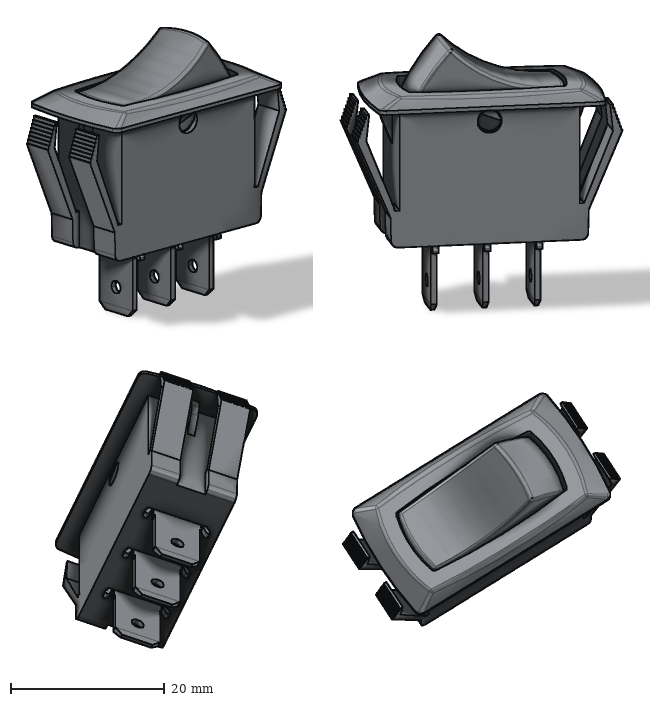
import cadquery as cq
import math


BEZEL_WIDTH = 16.7
BEZEL_LENGTH = 31.15
BEZEL_END_BULGE = 0.68
BEZEL_EDGE_ROUND = 0.93
RIM_HEIGHT = 0.55
BEZEL_HEIGHT = 1.97
CROWN_WIDTH = 14.82
CROWN_LENGTH = 26.5
CROWN_SIDE_BULGE = 0.7
CROWN_END_BULGE = 1.3

WELL_WIDTH = 10.38
WELL_LENGTH = 22.05
WELL_SIDE_BULGE = 0.57
WELL_END_BULGE = 0.7
WELL_CORNER_RADIUS = 0.35
WELL_DEPTH = 7.88

HOUSING_WIDTH = 12.03
HOUSING_LENGTH = 23.85
HOUSING_HEIGHT = 18.45
RIB_WIDTH = 1.0
RIB_DEPTH = 1.55
RIB_STRAIGHT = 2.0
RIB_HEIGHT = 5.75
RIB_BEND_RADIUS = 3.95

ARM_WIDTH = 4.0
ARM_FOOT_Y = 13.03
ARM_FOOT_ROUND = 0.93
ARM_ROOT_Y = 13.15
ARM_ROOT_Z = -14.4
ARM_SPAN = 35.2
ARM_ELBOW_Y = ARM_SPAN / 2
ARM_ELBOW_Z = -3.97
ARM_TIP_THICKNESS = 0.4
ARM_TIP_Z = -0.5
ARM_ELBOW_INNER_Y = 16.32
SLOT_WIDTH = 0.57
SLOT_BOTTOM_Z = -13.5
STEP_COUNT = 7
STEP_DEPTH = 0.18

PIVOT_Z = -1.97
TILT = 21.0
PIN_DIAMETER = 2.95
PIN_HOLE_DIAMETER = 3.2
PIN_RAMP_START = 0.55
ROCKER_WIDTH = 9.8
ROCKER_SIDE_BULGE = 0.45
ROCKER_END_BULGE = 0.7
ROCKER_HEIGHT = 7.5
ROCKER_DIP = 5.48
ROCKER_TIP_REACH = 8.55
ROCKER_MIDDLE_REACH = 9.8
ROCKER_MIDDLE_HEIGHT = 3.95
ROCKER_BASE_REACH = 10.8
ROCKER_EDGE_ROUND = 0.45

TERMINAL_PITCH = 6.87
TERMINAL_THICKNESS = 0.8
TERMINAL_LENGTH = 9.5
BLADE_WIDTH = 6.3
SHOULDER_WIDTH = 6.65
SHOULDER_LENGTH = 1.2
BLADE_HOLE_DIAMETER = 1.7
BLADE_HOLE_DROP = 5.95
BLADE_TIP_CHAMFER = 1.0
BLADE_TIP_THICKNESS = 0.5
PRONG_WIDTH = 0.68
PRONG_TOP_X = 3.83
PRONG_TIP_X = 4.25
PRONG_DROP = 1.07
PRONG_WEB = 0.25


def bowed_rectangle(plane, width, length, side_bulge, end_bulge):
    """Four-sided outline whose overall size is width x length and whose sides bow outwards."""
    half_width = width / 2
    half_length = length / 2
    corner_x = half_width - side_bulge
    corner_y = half_length - end_bulge
    outline = plane.moveTo(-corner_x, -corner_y)
    outline = outline.threePointArc((0, -half_length), (corner_x, -corner_y))
    if side_bulge > 0:
        outline = outline.threePointArc((half_width, 0), (corner_x, corner_y))
    else:
        outline = outline.lineTo(corner_x, corner_y)
    outline = outline.threePointArc((0, half_length), (-corner_x, corner_y))
    if side_bulge > 0:
        outline = outline.threePointArc((-half_width, 0), (-corner_x, -corner_y))
    return outline.close()


def slab_in_x(points, x_start, x_end):
    """Extrude a (Y, Z) outline from x_start to x_end."""
    return cq.Workplane("YZ", origin=(x_start, 0, 0)).polyline(points).close().extrude(x_end - x_start)


def make_bezel():
    """Rim plate under a crown with sloping flanks, rounded at the corners and along the top edge."""
    rim_plane = cq.Workplane("XY")
    foot_plane = cq.Workplane("XY", origin=(0, 0, RIM_HEIGHT))
    crown_plane = cq.Workplane("XY", origin=(0, 0, BEZEL_HEIGHT))
    rim = bowed_rectangle(rim_plane, BEZEL_WIDTH, BEZEL_LENGTH, 0, BEZEL_END_BULGE).extrude(RIM_HEIGHT)
    foot = bowed_rectangle(foot_plane, BEZEL_WIDTH, BEZEL_LENGTH, 0, BEZEL_END_BULGE)
    crown = bowed_rectangle(crown_plane, CROWN_WIDTH, CROWN_LENGTH, CROWN_SIDE_BULGE, CROWN_END_BULGE)
    bezel = rim.union(cq.Workplane(cq.Solid.makeLoft([foot.val(), crown.val()], True)))

    above_rim = cq.selectors.BoxSelector(
        (-BEZEL_WIDTH, -BEZEL_LENGTH, 2 * RIM_HEIGHT),
        (BEZEL_WIDTH, BEZEL_LENGTH, 2 * BEZEL_HEIGHT),
    )
    return bezel.edges(above_rim).add(bezel.edges("|Z")).fillet(BEZEL_EDGE_ROUND)


def make_end_rib():
    """Central rib on the +Y end of the housing, running out into the end wall."""
    wall_y = HOUSING_LENGTH / 2
    rib_y = wall_y + RIB_DEPTH
    points = [(wall_y, 0), (rib_y, 0), (rib_y, -RIB_STRAIGHT), (wall_y, -RIB_HEIGHT)]
    rib = slab_in_x(points, -RIB_WIDTH / 2, RIB_WIDTH / 2)
    bend = cq.selectors.NearestToPointSelector((0, rib_y, -RIB_STRAIGHT))
    return rib.edges("|X").edges(bend).fillet(RIB_BEND_RADIUS)


def make_spring_arm():
    """Spring arm at the +X, +Y corner of the housing, with a stepped finger grip above its elbow."""
    wall_y = HOUSING_LENGTH / 2
    step_height = (ARM_TIP_Z - ARM_ELBOW_Z) / STEP_COUNT
    points = [
        (wall_y, -HOUSING_HEIGHT),
        (ARM_FOOT_Y, -HOUSING_HEIGHT),
        (ARM_ROOT_Y, ARM_ROOT_Z),
        (ARM_ELBOW_Y, ARM_ELBOW_Z),
    ]
    for step in range(1, STEP_COUNT + 1):
        step_y = ARM_ELBOW_Y - step * STEP_DEPTH
        step_bottom = ARM_ELBOW_Z + (step - 1) * step_height
        points += [(step_y, step_bottom), (step_y, step_bottom + step_height)]
    tip_y = ARM_ELBOW_Y - STEP_COUNT * STEP_DEPTH
    points += [
        (tip_y - ARM_TIP_THICKNESS, ARM_TIP_Z),
        (ARM_ELBOW_INNER_Y, ARM_ELBOW_Z),
        (wall_y + SLOT_WIDTH, SLOT_BOTTOM_Z),
        (wall_y, SLOT_BOTTOM_Z),
    ]
    arm = slab_in_x(points, HOUSING_WIDTH / 2 - ARM_WIDTH, HOUSING_WIDTH / 2)
    arm_x = (HOUSING_WIDTH - ARM_WIDTH) / 2
    foot = cq.selectors.NearestToPointSelector((arm_x, ARM_FOOT_Y, -HOUSING_HEIGHT))
    return arm.edges("|X").edges(foot).fillet(ARM_FOOT_ROUND)


def make_rocker_well():
    """Straight-walled volume cleared for the rocker, from the bezel top down to the well floor."""
    plane = cq.Workplane("XY", origin=(0, 0, -WELL_DEPTH))
    outline = bowed_rectangle(plane, WELL_WIDTH, WELL_LENGTH, WELL_SIDE_BULGE, WELL_END_BULGE)
    return outline.extrude(WELL_DEPTH + BEZEL_HEIGHT).edges("|Z").fillet(WELL_CORNER_RADIUS)


def pivot_cylinder(diameter):
    """Cylinder on the rocker's pivot axis, as long as the housing is wide."""
    plane = cq.Workplane("YZ", origin=(0, 0, PIVOT_Z))
    return plane.circle(diameter / 2).extrude(HOUSING_WIDTH / 2, both=True)


def make_housing():
    """Housing block with its bezel, end ribs, four spring arms, rocker well and pin holes."""
    block_size = (HOUSING_WIDTH, HOUSING_LENGTH, HOUSING_HEIGHT)
    housing = cq.Workplane("XY").box(*block_size, centered=(True, True, False))
    housing = housing.translate((0, 0, -HOUSING_HEIGHT)).union(make_bezel())
    rib = make_end_rib()
    arm = make_spring_arm()
    arm_pair = arm.union(arm.mirror("YZ"))
    for end in (rib, arm_pair):
        housing = housing.union(end).union(end.mirror("XZ"))
    return housing.cut(make_rocker_well()).cut(pivot_cylinder(PIN_HOLE_DIAMETER))


def make_rocker():
    """Rocker with its pivot pins, shaped level about the pivot and then tilted with +Y up."""
    pin_radius = PIN_DIAMETER / 2
    levels = [
        (-pin_radius, ROCKER_BASE_REACH),
        (ROCKER_MIDDLE_HEIGHT, ROCKER_MIDDLE_REACH),
        (ROCKER_HEIGHT, ROCKER_TIP_REACH),
    ]
    sections = []
    for height, reach in levels:
        plane = cq.Workplane("XY", origin=(0, 0, PIVOT_Z + height))
        side_bulge = ROCKER_SIDE_BULGE * (reach / ROCKER_BASE_REACH) ** 2
        section = bowed_rectangle(plane, ROCKER_WIDTH, 2 * reach, side_bulge, ROCKER_END_BULGE)
        sections.append(section.val())
    rocker = cq.Workplane(cq.Solid.makeLoft(sections))

    scoop_plane = cq.Workplane("YZ", origin=(0, 0, PIVOT_Z))
    scoop = scoop_plane.moveTo(-ROCKER_TIP_REACH, ROCKER_HEIGHT)
    scoop = scoop.threePointArc((0, ROCKER_DIP), (ROCKER_TIP_REACH, ROCKER_HEIGHT)).close()
    rocker = rocker.cut(scoop.extrude(ROCKER_WIDTH, both=True))
    above_base = cq.selectors.BoxSelector(
        (-ROCKER_WIDTH, -ROCKER_BASE_REACH, PIVOT_Z),
        (ROCKER_WIDTH, ROCKER_BASE_REACH, PIVOT_Z + ROCKER_HEIGHT),
    )
    rocker = rocker.edges(above_base).fillet(ROCKER_EDGE_ROUND)

    pins = pivot_cylinder(PIN_DIAMETER)
    wall_x = WELL_WIDTH / 2
    ramp_points = [
        (HOUSING_WIDTH / 2, PIVOT_Z + PIN_RAMP_START),
        (wall_x, PIVOT_Z - pin_radius),
        (HOUSING_WIDTH / 2, PIVOT_Z - pin_radius),
    ]
    ramp = cq.Workplane("XZ").polyline(ramp_points).close().extrude(PIN_DIAMETER, both=True)
    pins = pins.cut(ramp).cut(ramp.mirror("YZ"))
    rocker = rocker.union(pins)
    return rocker.rotate((0, 0, PIVOT_Z), (1, 0, PIVOT_Z), TILT)


def make_prong(top_z):
    """Round-tipped prong on the +X side of a terminal, splayed outwards as it goes down."""
    prong_radius = PRONG_WIDTH / 2
    slope = math.atan2(PRONG_TIP_X - PRONG_TOP_X, PRONG_DROP)
    side_x = prong_radius * math.cos(slope)
    side_z = prong_radius * math.sin(slope)
    tip_end_x = PRONG_TIP_X + side_z
    tip_end_z = top_z - PRONG_DROP - side_x
    prong = cq.Workplane("XZ").moveTo(PRONG_TOP_X - side_x, top_z)
    prong = prong.lineTo(PRONG_TIP_X - side_x, top_z - PRONG_DROP - side_z)
    prong = prong.threePointArc((tip_end_x, tip_end_z), (PRONG_TIP_X + side_x, top_z - PRONG_DROP + side_z))
    prong = prong.lineTo(PRONG_TOP_X + side_x, top_z).close()
    return prong.extrude(TERMINAL_THICKNESS / 2, both=True)


def make_terminal(y):
    """Blade terminal with a bent retaining prong at each side, hanging under the housing."""
    top_z = -HOUSING_HEIGHT

    def plate(width, length):
        plate_box = cq.Workplane("XY").box(width, TERMINAL_THICKNESS, length, centered=(True, True, False))
        return plate_box.translate((0, 0, top_z - length))

    blade = plate(BLADE_WIDTH, TERMINAL_LENGTH)
    bevel = (TERMINAL_THICKNESS - BLADE_TIP_THICKNESS) / 2
    blade = blade.faces("<Z").edges("|X").chamfer(BLADE_TIP_CHAMFER, bevel)
    corner_z = top_z - TERMINAL_LENGTH
    half_blade = BLADE_WIDTH / 2
    corner = cq.Workplane("XZ").polyline([
        (half_blade, corner_z),
        (half_blade, corner_z + BLADE_TIP_CHAMFER),
        (half_blade - BLADE_TIP_CHAMFER, corner_z),
    ])
    corner = corner.close().extrude(TERMINAL_THICKNESS, both=True)
    blade = blade.cut(corner).cut(corner.mirror("YZ"))
    terminal = blade.union(plate(SHOULDER_WIDTH, SHOULDER_LENGTH)).union(plate(2 * PRONG_TOP_X, PRONG_WEB))

    prong = make_prong(top_z)
    terminal = terminal.union(prong).union(prong.mirror("YZ"))

    hole_plane = cq.Workplane("XZ", origin=(0, TERMINAL_THICKNESS / 2, top_z - BLADE_HOLE_DROP))
    hole = hole_plane.circle(BLADE_HOLE_DIAMETER / 2).extrude(TERMINAL_THICKNESS)
    terminal = terminal.cut(hole)
    return terminal.translate((0, y, 0))


housing = make_housing().union(make_terminal(0))
rocker = make_rocker()
outer_terminals = [make_terminal(side * TERMINAL_PITCH) for side in (-1, 1)]

result = cq.Compound.makeCompound(
    [housing.val(), rocker.val(), *[terminal.val() for terminal in outer_terminals]]
)